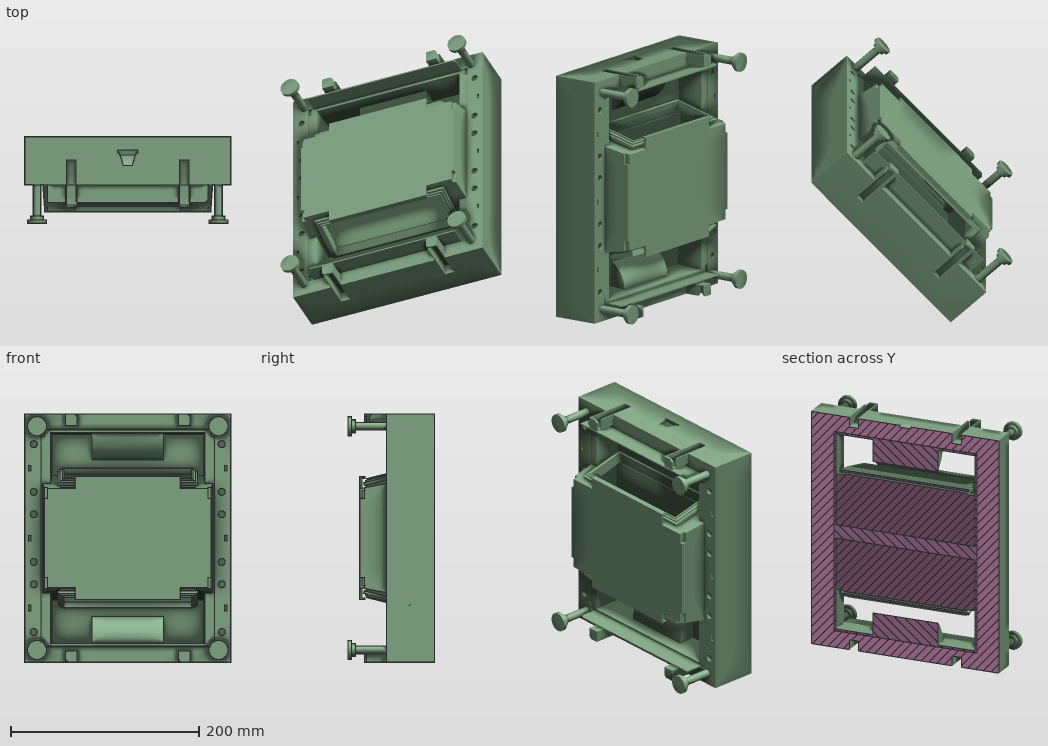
import cadquery as cq
import math


HOUSING_WIDTH = 219.0
HOUSING_HEIGHT = 264.0
HOUSING_DEPTH = 51.2
RECESS_DEPTH = 1.0
RECESS_WIDTH = 184.5
SEAT_Y = RECESS_DEPTH - HOUSING_DEPTH

OPENING_WIDTH = 164.5
OPENING_HEIGHT = 224.0
CAVITY_DRAFT = 1.8
TRAY_WALL = 2.0
CAVITY_DEPTH = 30.6
RIDGE_DEPTH = 24.8

BLOCK_WIDTH = 76.3
BLOCK_RADIUS = 32.0
BLOCK_FRONT_DEPTH = 12.7

FOOT_X = 96.5
FOOT_Z = 118.8
STEM_DIAMETER = 8.5
STEM_LENGTH = 33.0
WASHER_DIAMETER = 14.0
WASHER_LENGTH = 4.0
PAD_DIAMETER = 20.3
PAD_LENGTH = 4.0

HOLE_X = 99.8
HOLE_DIAMETER = 7.5
HOLE_Z = (25.4, 49.0, 99.8)
SLOT_X = 104.0
SLOT_WIDTH = 3.0
SLOT_HEIGHT = 6.0
SLOT_Z = (-74.2, 0, 74.2)
STRIP_HOLE_DEPTH = 4.0

CLIP_X = 60.0
CLIP_WIDTH = 12.1
CLIP_HEIGHT = 12.1
CLIP_SHEET = 1.0
CLIP_BACK_Y = -24.8
CLIP_REACH = 23.2
CLIP_CAP = 2.0
SHORT_WALL_REACH = 17.7
SHORT_WALL_RADIUS = 3.7
CAP_CHAMFER = 2.6

GRIP_Y = -14.3
GRIP_BAR_WIDTH = 21.7
GRIP_BAR_DEPTH = 3.2
GRIP_NECK_WIDTH = 17.5
GRIP_NECK_DEPTH = 2.0
GRIP_DROP = 4.0
GRIP_RAMP_WIDTH = 16.5
GRIP_TIP_WIDTH = 9.5
GRIP_RAMP_LENGTH = 11.0

PLATE_THICKNESS = 2.6
FLANGE_Z = 116.0
FLANGE_THICKNESS = 1.3
FLANGE_WIDTH = 170.5
FLANGE_REACH = 19.8
FLANGE_CHAMFER = 3.0
RELIEF_WIDTH = 4.0
RELIEF_HEIGHT = 8.0

HOOD_DEPTH = 29.5
HOOD_BASE_WIDTH = 180.6
HOOD_FRONT_WIDTH = 176.5
HOOD_BASE_HEIGHT = 116.2
HOOD_FRONT_HEIGHT = 105.0
SKIRT_BACK_HEIGHT = 134.2
SIDE_WALL = 4.0
ROOF_WALL = 2.5
CHAMBER_DEPTH = 23.5
TAB_WIDTH = 112.0
TAB_HEIGHT = 130.7
TAB_THICKNESS = 2.6
TAB_LIP_DEPTH = 5.5
TAB_LIP_HEIGHT = 1.8
CORNER_NOTCH_WIDTH = 3.0
CORNER_NOTCH_HEIGHT = 10.5
CORNER_NOTCH_DEPTH = 5.3

COLLAR_SLOPE = 14.2
COLLAR_SEAT_Z = 68.7
COLLAR_BACK = 25.0
COLLAR_FRONT = 27.0
COLLAR_TIERS = (
    (138.5, 2.5, 4.2, 1.5),
    (144.2, 1.0, 2.5, 3.5),
    (148.5, 0.0, 0.0, 6.3),
    (144.2, 1.0, 1.5, 12.7),
)
CABLE_OPENING_WIDTH = 135.2
CABLE_OPENING_BACK = 20.5
CABLE_OPENING_FRONT = 21.7
CABLE_OPENING_DEPTH = 14.8
UNDERCUT = 0.5
UNDERCUT_START = 6.0


def box(width, back_y, front_y, bottom_z, top_z, x=0.0):
    """Box centred on x, between two Y positions and two heights."""
    return (
        cq.Workplane("XY")
        .box(width, back_y - front_y, top_z - bottom_z, centered=(True, False, False))
        .translate((x, front_y, bottom_z))
    )


def turned(shape):
    """The shape turned half a turn about the Y axis, from the upper half to the lower half."""
    return shape.rotate((0, 0, 0), (0, 1, 0), 180)


def both_halves(shape):
    return shape.union(turned(shape))


def loft_along_y(back, front):
    """Solid between two centred rectangles, each given as (width, height, y)."""
    width, height, y = back
    front_width, front_height, front_y = front
    return (
        cq.Workplane("XZ", origin=(0, y, 0))
        .rect(width, height)
        .workplane(offset=y - front_y)
        .rect(front_width, front_height)
        .loft(ruled=True)
    )


def cavity(wall=0.0):
    """Drafted space whose back rises from both ends to a low ridge, grown on all sides by a wall."""
    floor_y = SEAT_Y + CAVITY_DEPTH + wall
    ridge_y = SEAT_Y + RIDGE_DEPTH + wall
    width = OPENING_WIDTH + 2 * wall
    height = OPENING_HEIGHT + 2 * wall
    space = loft_along_y(
        (width - 2 * CAVITY_DRAFT, height - 2 * CAVITY_DRAFT, floor_y),
        (width, height, SEAT_Y),
    )
    half_height = height / 2 - CAVITY_DRAFT
    ridge = (
        cq.Workplane("YZ")
        .polyline([(floor_y, -half_height), (ridge_y, 0), (floor_y, half_height)])
        .close()
        .extrude(width / 2, both=True)
    )
    return space.cut(ridge)


def rounded_block():
    """Block under the upper cavity wall, its front curving back to the cavity floor."""
    front_y = SEAT_Y + BLOCK_FRONT_DEPTH
    floor_y = SEAT_Y + CAVITY_DEPTH
    top_z = OPENING_HEIGHT / 2
    curve_z = top_z - CAVITY_DRAFT / 2
    end_angle = math.acos(1 - (floor_y - front_y) / BLOCK_RADIUS)

    def on_curve(angle):
        return (
            front_y + BLOCK_RADIUS * (1 - math.cos(angle)),
            curve_z - BLOCK_RADIUS * math.sin(angle),
        )

    return (
        cq.Workplane("YZ")
        .moveTo(floor_y, top_z)
        .lineTo(front_y, top_z)
        .lineTo(front_y, curve_z)
        .threePointArc(on_curve(end_angle / 2), on_curve(end_angle))
        .close()
        .extrude(BLOCK_WIDTH / 2, both=True)
    )


def foot(x, z):
    """Screw stem with a washer and a round pad, standing on the front face."""
    stem = cq.Workplane("XZ", origin=(x, -HOUSING_DEPTH, z)).circle(STEM_DIAMETER / 2).extrude(STEM_LENGTH)
    washer = stem.faces("<Y").workplane().circle(WASHER_DIAMETER / 2).extrude(WASHER_LENGTH)
    return washer.faces("<Y").workplane().circle(PAD_DIAMETER / 2).extrude(PAD_LENGTH)


def strip_holes():
    """Round holes and small slots in the two side strips of the front face."""
    front = cq.Workplane("XZ", origin=(0, -HOUSING_DEPTH, 0))
    hole_points = [(i * HOLE_X, j * z) for i in (-1, 1) for j in (-1, 1) for z in HOLE_Z]
    slot_points = [(i * SLOT_X, z) for i in (-1, 1) for z in SLOT_Z]
    holes = front.pushPoints(hole_points).circle(HOLE_DIAMETER / 2).extrude(-STRIP_HOLE_DEPTH)
    slots = front.pushPoints(slot_points).rect(SLOT_WIDTH, SLOT_HEIGHT).extrude(-STRIP_HOLE_DEPTH)
    return holes.union(slots)


def clip_groove(x):
    """Groove in the upper face, running forward into the clip as far as its cap."""
    floor_z = HOUSING_HEIGHT / 2 - CLIP_HEIGHT + CLIP_SHEET
    front_y = CLIP_CAP - HOUSING_DEPTH - CLIP_REACH
    return box(CLIP_WIDTH - 2 * CLIP_SHEET, CLIP_BACK_Y, front_y, floor_z, HOUSING_HEIGHT / 2, x)


def clip(x):
    """Clip in front of the housing, before its groove: a long left wall, a short right wall and a cap."""
    top_z = HOUSING_HEIGHT / 2
    bottom_z = top_z - CLIP_HEIGHT
    front_y = -HOUSING_DEPTH - CLIP_REACH
    wall_end_y = -HOUSING_DEPTH - SHORT_WALL_REACH
    wall_x = x + (CLIP_WIDTH - CLIP_SHEET) / 2
    block = box(CLIP_WIDTH, -HOUSING_DEPTH, front_y, bottom_z, top_z, x)
    block = block.edges("|Y and >X and >Z").chamfer(CAP_CHAMFER)
    right_side = box(CLIP_SHEET, -HOUSING_DEPTH, front_y + CLIP_CAP, bottom_z + CLIP_SHEET, top_z, wall_x)
    short_wall = box(CLIP_SHEET, -HOUSING_DEPTH, wall_end_y, bottom_z, top_z, wall_x)
    short_wall = short_wall.edges("|X and >Z and <Y").fillet(SHORT_WALL_RADIUS)
    return block.cut(right_side).union(short_wall)


def grip():
    """Finger recess in the upper face: a cross bar, a neck, and a ramp rising toward the front."""
    top_z = HOUSING_HEIGHT / 2
    floor_z = top_z - GRIP_DROP
    neck_y = GRIP_Y - GRIP_BAR_DEPTH
    ramp_y = neck_y - GRIP_NECK_DEPTH
    tip_y = ramp_y - GRIP_RAMP_LENGTH
    bar = box(GRIP_BAR_WIDTH, GRIP_Y, neck_y, floor_z, top_z)
    neck = box(GRIP_NECK_WIDTH, neck_y, ramp_y, floor_z, top_z)
    outline = (
        cq.Workplane("XY", origin=(0, 0, floor_z))
        .polyline([
            (-GRIP_RAMP_WIDTH / 2, ramp_y),
            (GRIP_RAMP_WIDTH / 2, ramp_y),
            (GRIP_TIP_WIDTH / 2, tip_y),
            (-GRIP_TIP_WIDTH / 2, tip_y),
        ])
        .close()
        .extrude(GRIP_DROP)
    )
    wedge = (
        cq.Workplane("YZ")
        .polyline([(ramp_y, floor_z), (ramp_y, top_z), (tip_y, top_z)])
        .close()
        .extrude(GRIP_RAMP_WIDTH / 2, both=True)
    )
    return bar.union(neck).union(outline.intersect(wedge))


def tray_envelope():
    """Tray without its cavity, relief notches and flanges; also the space it fills in the housing."""
    plate = box(RECESS_WIDTH, SEAT_Y + PLATE_THICKNESS, SEAT_Y, -FLANGE_Z, FLANGE_Z)
    return plate.union(cavity(TRAY_WALL))


def make_housing():
    """Block with a pocket for the tray, carrying the four feet and the four clips."""
    half_height = HOUSING_HEIGHT / 2
    body = box(HOUSING_WIDTH, 0, -HOUSING_DEPTH, -half_height, half_height)
    body = body.cut(box(RECESS_WIDTH, SEAT_Y, -HOUSING_DEPTH, -FLANGE_Z, FLANGE_Z))
    body = body.cut(tray_envelope())
    body = body.cut(strip_holes()).cut(grip())
    for x in (-CLIP_X, CLIP_X):
        body = body.union(both_halves(clip(x))).cut(both_halves(clip_groove(x)))
        for z in (-FOOT_Z, FOOT_Z):
            body = body.union(foot(math.copysign(FOOT_X, x), z))
    return body


def flange():
    """Upper flange, bent forward from the plate, with one clipped front corner."""
    sheet = box(FLANGE_WIDTH, SEAT_Y, SEAT_Y - FLANGE_REACH, FLANGE_Z - FLANGE_THICKNESS, FLANGE_Z)
    return sheet.edges("|Z and >X and <Y").chamfer(FLANGE_CHAMFER)


def make_tray():
    """Thin tray with a front plate, two flanges and a rounded block at each end of its cavity."""
    tray = tray_envelope().cut(cavity())
    tray = tray.union(both_halves(rounded_block()).intersect(cavity()))
    for x in (-1, 1):
        relief_x = x * (RECESS_WIDTH - RELIEF_WIDTH) / 2
        relief = box(
            RELIEF_WIDTH, SEAT_Y + PLATE_THICKNESS, SEAT_Y, FLANGE_Z - RELIEF_HEIGHT, FLANGE_Z, relief_x
        )
        tray = tray.cut(both_halves(relief))
    return tray.union(both_halves(flange()))


def along_slope(width, back, front, top, bottom):
    """Block set along the upper collar slope; top and bottom are distances below the collar top."""
    block = box(width, back, -front, -bottom, -top)
    block = block.rotate((0, 0, 0), (1, 0, 0), COLLAR_SLOPE)
    return block.translate((0, SEAT_Y, COLLAR_SEAT_Z))


def collar():
    """Stepped collar standing on the sloping upper face of the hood."""
    top = 0
    body = cq.Workplane("XY")
    for width, back, front, bottom in COLLAR_TIERS:
        body = body.union(along_slope(width, COLLAR_BACK - back, COLLAR_FRONT - front, top, bottom))
        top = bottom
    return body


def cable_opening():
    """Opening through the collar and the sloping roof, slightly wider below the rim."""
    rim = along_slope(
        CABLE_OPENING_WIDTH, CABLE_OPENING_BACK, CABLE_OPENING_FRONT, 0, CABLE_OPENING_DEPTH
    )
    undercut = along_slope(
        CABLE_OPENING_WIDTH + 2 * UNDERCUT,
        CABLE_OPENING_BACK + UNDERCUT,
        CABLE_OPENING_FRONT,
        UNDERCUT_START,
        CABLE_OPENING_DEPTH,
    )
    return rim.union(undercut)


def chamber():
    """Hollow inside the hood, ending at a flat rear wall."""
    sides = 2 * SIDE_WALL
    roofs = 2 * ROOF_WALL
    front = loft_along_y(
        (HOOD_BASE_WIDTH - sides, HOOD_BASE_HEIGHT - roofs, SEAT_Y),
        (HOOD_FRONT_WIDTH - sides, HOOD_FRONT_HEIGHT - roofs, SEAT_Y - HOOD_DEPTH + TAB_THICKNESS),
    )
    rear_height = HOOD_BASE_HEIGHT + (SKIRT_BACK_HEIGHT - HOOD_BASE_HEIGHT) * CHAMBER_DEPTH / CAVITY_DEPTH
    rear = loft_along_y(
        (OPENING_WIDTH - 2 * CAVITY_DRAFT - sides, rear_height - roofs, SEAT_Y + CHAMBER_DEPTH),
        (OPENING_WIDTH - sides, HOOD_BASE_HEIGHT - roofs, SEAT_Y),
    )
    return front.union(rear)


def front_tab():
    """Half of the thin front panel, rising past the hood and turned back along its upper edge."""
    front_y = SEAT_Y - HOOD_DEPTH
    top_z = TAB_HEIGHT / 2
    panel = box(TAB_WIDTH, front_y + TAB_THICKNESS, front_y, 0, top_z)
    return panel.union(box(TAB_WIDTH, front_y + TAB_LIP_DEPTH, front_y, top_z - TAB_LIP_HEIGHT, top_z))


def corner_notch(x):
    """Notch at an upper front corner of the hood."""
    front_y = SEAT_Y - HOOD_DEPTH
    top_z = HOOD_FRONT_HEIGHT / 2 + CORNER_NOTCH_DEPTH
    bottom_z = HOOD_FRONT_HEIGHT / 2 - CORNER_NOTCH_HEIGHT
    notch_x = x * HOOD_FRONT_WIDTH / 2
    return box(2 * CORNER_NOTCH_WIDTH, front_y + CORNER_NOTCH_DEPTH, front_y, bottom_z, top_z, notch_x)


def make_hood():
    """Box-shaped hood through the opening, with a collared cable opening above and below."""
    front_y = SEAT_Y - HOOD_DEPTH
    body = loft_along_y(
        (HOOD_BASE_WIDTH, HOOD_BASE_HEIGHT, SEAT_Y), (HOOD_FRONT_WIDTH, HOOD_FRONT_HEIGHT, front_y)
    )
    skirt = loft_along_y(
        (OPENING_WIDTH, SKIRT_BACK_HEIGHT, SEAT_Y + CAVITY_DEPTH),
        (OPENING_WIDTH, HOOD_BASE_HEIGHT, SEAT_Y),
    ).intersect(cavity())
    body = body.union(skirt)
    body = body.union(both_halves(collar()))
    body = body.cut(chamber()).cut(both_halves(cable_opening()))
    body = body.union(both_halves(front_tab()))
    for x in (-1, 1):
        body = body.cut(both_halves(corner_notch(x)))
    return body


housing = make_housing()
tray = make_tray()
hood = make_hood()

result = cq.Compound.makeCompound([housing.val(), tray.val(), hood.val()])